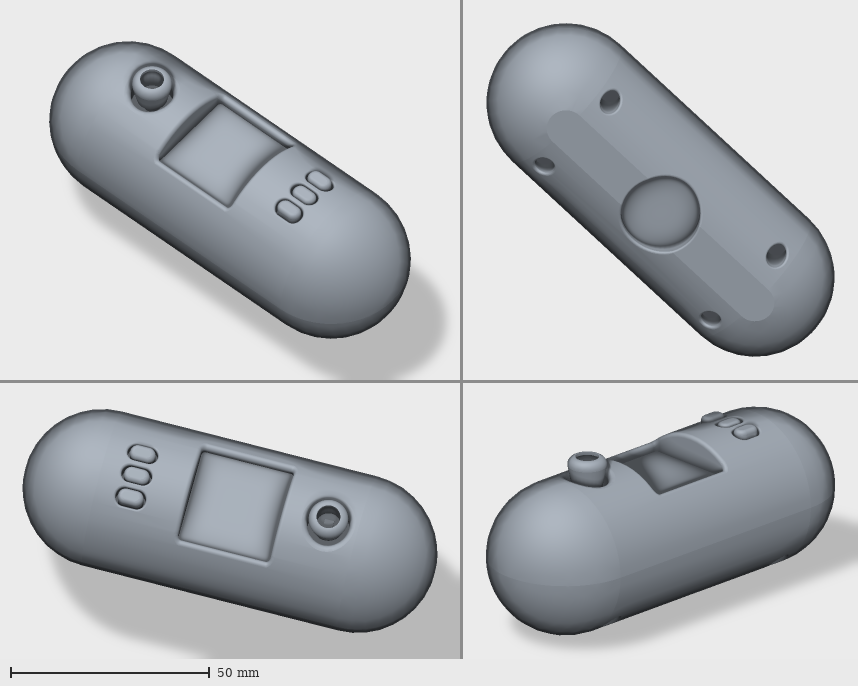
import cadquery as cq

radius = 20.0
overall_length = 106.5
straight_length = overall_length - 2 * radius
overall_height = 44.25
base_z = -19.4

pocket_x = -1.55
pocket_length = 24.0
pocket_width = 24.4
pocket_floor_z = 12.4
pocket_corner_radius = 1.0
pocket_edge_fillet = 1.0

joystick_x = -25.6
joystick_hole_diameter = 10.6
joystick_hole_floor_z = 14.0
joystick_hole_fillet = 1.5
cap_top_z = base_z + overall_height
cap_bottom_z = 17.0
cap_wall = 0.8
cap_rim_diameter = 10.0
cap_foot_diameter = 7.8
cap_rim_band = 0.3
cap_rim_fillet = 2.0
cap_mouth_diameter = cap_rim_diameter - 2 * cap_rim_fillet
cap_floor_z = cap_bottom_z + cap_wall
stem_diameter = 4.6
stem_tip_side = 2.4
stem_tip_height = 0.5

button_x = 24.2
button_row_y = 0.25
button_pitch = 5.9
button_count = 3
button_length = 6.5
button_width = 4.0
button_corner_radius = 1.9
button_top_fillet = 1.1
button_top_z = 20.2
button_floor_z = 15.0
button_slot_diameter = 4.4
button_slot_straight = 3.4
button_slot_length = button_slot_diameter + button_slot_straight
button_slot_fillet = 0.5

screw_x = 29.25
screw_y = 11.7
screw_hole_diameter = 5.0
screw_hole_top_z = -8.0
screw_hole_fillet = 0.5
recess_diameter = 20.0
recess_top_z = -14.0
recess_fillet = 0.5

overshoot = 1.0
mouth_margin = 0.05

button_ys = [button_row_y + (i - (button_count - 1) / 2) * button_pitch for i in range(button_count)]


def capsule():
    """Solid cylinder along X with a hemisphere on each end."""
    half_straight = straight_length / 2
    return (
        cq.Workplane("XY")
        .moveTo(-overall_length / 2, 0)
        .radiusArc((-half_straight, radius), radius)
        .lineTo(half_straight, radius)
        .radiusArc((overall_length / 2, 0), radius)
        .close()
        .revolve(360, (0, 0, 0), (1, 0, 0))
    )


def slab(z_low, z_high):
    """Wide block that keeps everything between two heights."""
    side = overall_length + 2 * overshoot
    return cq.Workplane("XY").workplane(offset=z_low).rect(side, side).extrude(z_high - z_low)


def round_cutter(x, y, diameter, z_low, z_high):
    """Vertical cylinder at (x, y) between two heights."""
    return (
        cq.Workplane("XY").workplane(offset=z_low).center(x, y).circle(diameter / 2).extrude(z_high - z_low)
    )


def round_mouth(body, x, y, length, width, z_low, z_high, fillet):
    """Fillet the edges of an opening that lie between two heights, inside a box that hugs its outline."""
    half_length = length / 2 + mouth_margin
    half_width = width / 2 + mouth_margin
    hugging_box = cq.selectors.BoxSelector(
        (x - half_length, y - half_width, z_low),
        (x + half_length, y + half_width, z_high),
        boundingbox=True,
    )
    return body.edges(hugging_box).fillet(fillet)


def button_slot(y):
    """Round-ended slot, from the button floor up through the shell."""
    return (
        cq.Workplane("XY")
        .workplane(offset=button_floor_z)
        .center(button_x, y)
        .slot2D(button_slot_length, button_slot_diameter)
        .extrude(radius)
    )


def display_pocket():
    """Rectangular cutter with rounded corners, from the pocket floor up through the shell."""
    return (
        cq.Workplane("XY")
        .workplane(offset=pocket_floor_z)
        .center(pocket_x, 0)
        .rect(pocket_length, pocket_width)
        .extrude(radius)
        .edges("|Z")
        .fillet(pocket_corner_radius)
    )


def cut_top_hole(body, cutter, x, y, length, width, floor_z, fillet):
    """Cut an opening into the top of the shell and round its mouth."""
    return round_mouth(
        body.cut(cutter), x, y, length, width, floor_z + overshoot, radius + overshoot, fillet
    )


def cut_bottom_hole(body, x, y, diameter, roof_z, fillet):
    """Cut a round blind hole from below and round its mouth."""
    cutter = round_cutter(x, y, diameter, -radius - overshoot, roof_z)
    return round_mouth(
        body.cut(cutter), x, y, diameter, diameter, -radius - overshoot, roof_z - overshoot, fillet
    )


def upper_shell():
    """Upper half with the display pocket, joystick hole and button slots."""
    body = capsule().intersect(slab(0, radius))
    body = cut_top_hole(
        body, display_pocket(), pocket_x, 0, pocket_length, pocket_width, pocket_floor_z, pocket_edge_fillet
    )

    d = joystick_hole_diameter
    hole = round_cutter(joystick_x, 0, d, joystick_hole_floor_z, radius + overshoot)
    body = cut_top_hole(body, hole, joystick_x, 0, d, d, joystick_hole_floor_z, joystick_hole_fillet)

    for y in button_ys:
        body = cut_top_hole(
            body, button_slot(y), button_x, y, button_slot_length, button_slot_diameter,
            button_floor_z, button_slot_fillet,
        )
    return body


def lower_shell():
    """Lower half with a flat base, screw holes and a round recess."""
    body = capsule().intersect(slab(base_z, 0))
    for x in (-screw_x, screw_x):
        for y in (-screw_y, screw_y):
            body = cut_bottom_hole(body, x, y, screw_hole_diameter, screw_hole_top_z, screw_hole_fillet)
    return cut_bottom_hole(body, 0, 0, recess_diameter, recess_top_z, recess_fillet)


def joystick_cap():
    """Hollow tapered cap with a rounded shoulder, an open mouth and a hole for the stem in its floor."""
    foot = cap_foot_diameter / 2
    rim = cap_rim_diameter / 2
    mouth = cap_mouth_diameter / 2
    stem = stem_diameter / 2
    shoulder_z = cap_top_z - cap_rim_fillet
    inner_fillet = cap_rim_fillet - cap_wall
    cap = (
        cq.Workplane("XZ")
        .moveTo(stem, cap_bottom_z)
        .lineTo(foot, cap_bottom_z)
        .lineTo(rim, shoulder_z - cap_rim_band)
        .lineTo(rim, shoulder_z)
        .radiusArc((mouth, cap_top_z), -cap_rim_fillet)
        .lineTo(mouth, cap_top_z - cap_wall)
        .radiusArc((rim - cap_wall, shoulder_z), inner_fillet)
        .lineTo(rim - cap_wall, shoulder_z - cap_rim_band)
        .lineTo(foot - cap_wall, cap_floor_z)
        .lineTo(stem, cap_floor_z)
        .close()
        .revolve(360, (0, 0, 0), (0, 1, 0))
    )
    return cap.translate((joystick_x, 0, 0))


def joystick_stem():
    """Round stem standing on the hole floor, with a square tip."""
    shaft = round_cutter(joystick_x, 0, stem_diameter, joystick_hole_floor_z, cap_floor_z)
    return shaft.faces(">Z").workplane().rect(stem_tip_side, stem_tip_side).extrude(stem_tip_height)


def push_button(y):
    """Rounded rectangular button standing on its slot floor."""
    return (
        cq.Workplane("XY")
        .workplane(offset=button_floor_z)
        .center(button_x, y)
        .rect(button_length, button_width)
        .extrude(button_top_z - button_floor_z)
        .edges("|Z")
        .fillet(button_corner_radius)
        .faces(">Z")
        .edges()
        .fillet(button_top_fillet)
    )


bodies = [upper_shell(), lower_shell(), joystick_cap(), joystick_stem()]
bodies += [push_button(y) for y in button_ys]
result = cq.Compound.makeCompound([body.val() for body in bodies])